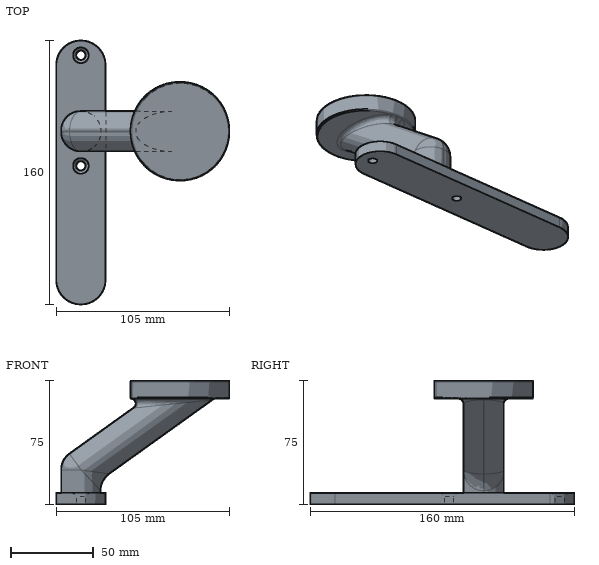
import cadquery as cq
import math

plate_length = 160.0
plate_width = 30.0
plate_thickness = 7.0
neck_from_plate_end = 55.0

screw_hole_diameter = 5.5
countersink_diameter = 9.5
countersink_angle = 90.0
screw_holes_from_plate_end = (9.0, 76.0)

bar_round_diameter = 24.0
bar_flat_width = 0.5
elbow_height = 21.0
elbow_inner_fillet = 12.5
knob_diameter = 60.0
knob_thickness = 11.0
knob_offset = 60.0
knob_top_height = 75.0
knob_edge_round = 0.75
knob_root_fillet = 3.0

tolerance = 0.01

plate_center_y = neck_from_plate_end - plate_length / 2
bar_radius = bar_round_diameter / 2
bar_width = bar_round_diameter + bar_flat_width
knob_bottom_height = knob_top_height - knob_thickness
neck_length = elbow_height - plate_thickness
arm_rise = knob_bottom_height - elbow_height
arm_slope = math.atan2(arm_rise, knob_offset)
arm_length = math.hypot(knob_offset, arm_rise) + bar_radius / math.tan(arm_slope)


def make_plate():
    hole_centers = [(0, neck_from_plate_end - distance) for distance in screw_holes_from_plate_end]
    blank = (
        cq.Workplane("XY")
        .center(0, plate_center_y)
        .slot2D(plate_length, plate_width, 90)
        .extrude(plate_thickness)
    )
    return (
        blank.faces(">Z")
        .workplane(origin=(0, 0, plate_thickness))
        .pushPoints(hole_centers)
        .cskHole(screw_hole_diameter, countersink_diameter, countersink_angle)
    )


def make_bar(start, direction, length):
    """Straight bar with two half-round sides and narrow flats between them, wide along Y."""
    plane = cq.Plane(start, (0, 1, 0), direction)
    return cq.Workplane(plane).slot2D(bar_width, bar_round_diameter).extrude(length)


def make_elbow_ball(center):
    """Bar section spun about the Y line through the elbow: a ball stretched by the flat width."""
    half_flat = bar_flat_width / 2
    half_width = bar_width / 2
    diagonal = bar_radius * math.sqrt(0.5)
    return (
        cq.Workplane("XY", origin=center)
        .moveTo(0, -half_width)
        .threePointArc((diagonal, -half_flat - diagonal), (bar_radius, -half_flat))
        .lineTo(bar_radius, half_flat)
        .threePointArc((diagonal, half_flat + diagonal), (0, half_width))
        .close()
        .revolve(360, (0, 0, 0), (0, 1, 0))
    )


def make_bent_bar():
    elbow_center = (0, 0, elbow_height)
    arm_direction = (math.cos(arm_slope), 0, math.sin(arm_slope))
    neck = make_bar((0, 0, plate_thickness), (0, 0, 1), neck_length)
    arm = make_bar(elbow_center, arm_direction, arm_length)
    bent_bar = neck.union(arm).union(make_elbow_ball(elbow_center))

    mitre_box = cq.selectors.BoxSelector(
        (-tolerance, -bar_width, plate_thickness + tolerance),
        (bar_radius + tolerance, bar_width, elbow_height + tolerance),
        boundingbox=True,
    )
    bent_bar = bent_bar.edges(mitre_box).fillet(elbow_inner_fillet)

    knob_underside = cq.Workplane("XY", origin=(0, 0, knob_bottom_height))
    return bent_bar.copyWorkplane(knob_underside).split(keepBottom=True)


def make_knob():
    return (
        cq.Workplane("XY", origin=(knob_offset, 0, knob_bottom_height))
        .circle(knob_diameter / 2)
        .extrude(knob_thickness)
        .edges("%CIRCLE")
        .fillet(knob_edge_round)
    )


def make_handle():
    handle = make_bent_bar().union(make_knob())

    root_box = cq.selectors.BoxSelector(
        (knob_offset - knob_diameter, -bar_width, knob_bottom_height - tolerance),
        (knob_offset + knob_diameter, bar_width, knob_bottom_height + tolerance),
        boundingbox=True,
    )
    return handle.edges(root_box).fillet(knob_root_fillet)


plate = make_plate()
handle = make_handle()
result = cq.Compound.makeCompound([plate.val(), handle.val()])